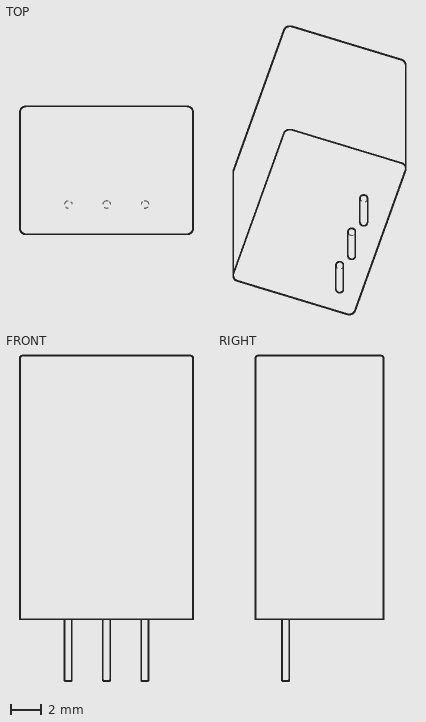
import cadquery as cq

body_length = 11.5
body_width = 8.5
body_height = 17.5
corner_radius = 0.05 * body_width
top_edge_radius = corner_radius / 2

overall_height = 21.6
pin_diameter = 0.5
pin_length = overall_height - body_height
pin_count = 3
pin_pitch = 2.54
pin_row_y = -2.25
pin_tip_radius = 0.1


def make_body():
    """Block with rounded upright corners and a rounded top rim."""
    block = cq.Workplane("XY").box(
        body_length, body_width, body_height, centered=(True, True, False)
    )
    block = block.edges("|Z").fillet(corner_radius)
    return block.faces(">Z").edges().fillet(top_edge_radius)


def make_pin(x):
    """Round pin hanging from the body's underside, with a rounded tip."""
    pin = cq.Workplane("XY").center(x, pin_row_y).circle(pin_diameter / 2).extrude(-pin_length)
    return pin.faces("<Z").edges().fillet(pin_tip_radius)


result = make_body()
for index in range(pin_count):
    pin_x = (index - (pin_count - 1) / 2) * pin_pitch
    result = result.union(make_pin(pin_x))